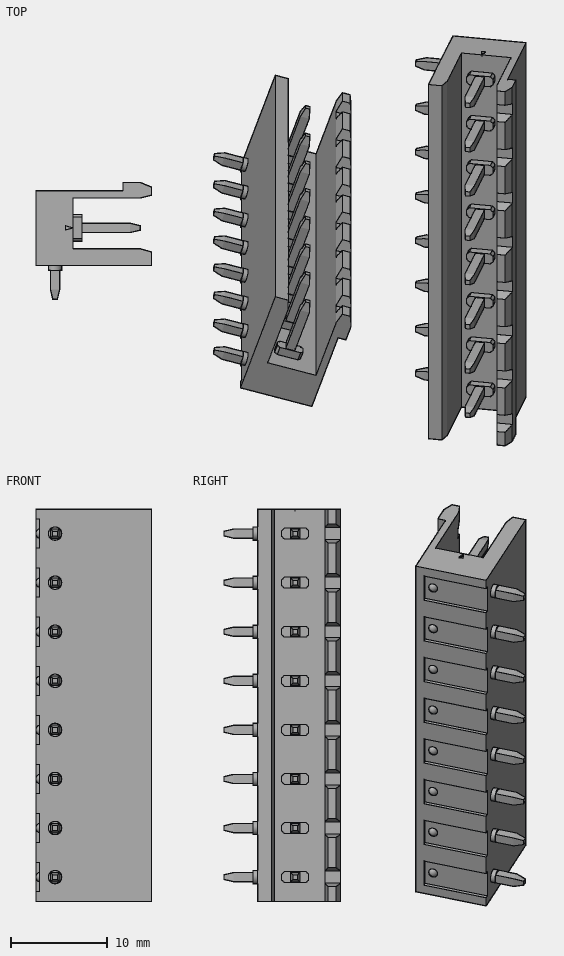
import cadquery as cq

length = 40.65
depth = 12.0
wall_height = 7.75
hook_height = 8.6
channel_floor = 3.85
channel_bottom = 1.75
channel_top = 7.0
hook_start = 9.02
lead_in_start = 10.8
hook_nose_top = 8.13
hook_nose_bottom = 7.27
lower_nose_top = 1.42

contact_count = 8
pitch = 5.1
first_contact_z = (length - (contact_count - 1) * pitch) / 2
pin_width = 0.98
pin_tip_width = 0.5
pin_taper = 1.0

mating_pin_y = 3.9
mating_pin_end = 10.8
collar_end = 4.8
collar_width = 2.8
collar_thickness = 1.15
collar_chamfer = 0.3

solder_pin_x = 2.0
solder_pin_length = 3.5
solder_collar_diameter = 1.4
solder_collar_height = 0.5

recess_depth = 0.35
recess_top = 6.85
recess_width = 3.0
dome_y = 5.97
dome_radius = 0.5

notch_floor = 10.73
notch_floor_width = 1.2
notch_mouth_width = 1.95

mark_length = 0.8
mark_width = 0.45
mark_depth = 0.2


def make_housing():
    return (
        cq.Workplane("XY")
        .moveTo(0, 0)
        .lineTo(depth, 0)
        .lineTo(depth, lower_nose_top)
        .lineTo(lead_in_start, channel_bottom)
        .lineTo(channel_floor, channel_bottom)
        .lineTo(channel_floor, channel_top)
        .lineTo(lead_in_start, channel_top)
        .lineTo(depth, hook_nose_bottom)
        .lineTo(depth, hook_nose_top)
        .lineTo(lead_in_start, hook_height)
        .lineTo(hook_start, hook_height)
        .lineTo(hook_start, wall_height)
        .lineTo(0, wall_height)
        .close()
        .extrude(length)
    )


def make_recess(z):
    return (
        cq.Workplane("XY", origin=(0, 0, z))
        .box(recess_depth, recess_top, recess_width, centered=(False, False, True))
    )


def make_dome(z):
    """Spherical cap that rises from the recess floor to the back face."""
    sphere_radius = (dome_radius**2 + recess_depth**2) / (2 * recess_depth)
    sphere = cq.Workplane("XY", origin=(sphere_radius, dome_y, z)).sphere(sphere_radius)
    return sphere.intersect(make_recess(z))


def make_notch(z):
    """Trapezoidal cutter through the hooked wall, wider at the free edge."""
    half_floor = notch_floor_width / 2
    half_mouth = notch_mouth_width / 2
    return (
        cq.Workplane("XZ", origin=(0, hook_height, z))
        .polyline([
            (notch_floor, -half_floor),
            (depth, -half_mouth),
            (depth, half_mouth),
            (notch_floor, half_floor),
        ])
        .close()
        .extrude(hook_height - channel_top)
    )


def make_pin(origin, direction, pin_length):
    """Square pin with a four-sided tapered tip."""
    plane = cq.Plane(origin=origin, xDir=(0, 0, 1), normal=direction)
    shank_length = pin_length - pin_taper
    shank = cq.Workplane(plane).rect(pin_width, pin_width).extrude(shank_length)
    tip = (
        cq.Workplane(plane)
        .workplane(offset=shank_length)
        .rect(pin_width, pin_width)
        .workplane(offset=pin_taper)
        .rect(pin_tip_width, pin_tip_width)
        .loft()
    )
    return shank.union(tip)


def make_mating_contact(z):
    collar = (
        cq.Workplane("YZ", origin=(channel_floor, mating_pin_y, z))
        .rect(collar_width, collar_thickness)
        .extrude(collar_end - channel_floor)
        .edges("|X")
        .chamfer(collar_chamfer)
    )
    pin = make_pin((channel_floor, mating_pin_y, z), (1, 0, 0), mating_pin_end - channel_floor)
    return collar.union(pin)


def make_solder_contact(z):
    collar = (
        cq.Workplane("XZ", origin=(solder_pin_x, 0, z))
        .circle(solder_collar_diameter / 2)
        .extrude(solder_collar_height)
    )
    pin = make_pin((solder_pin_x, 0, z), (0, -1, 0), solder_pin_length)
    return collar.union(pin)


def make_mark():
    return (
        cq.Workplane("XY", origin=(channel_floor, mating_pin_y, length))
        .polyline([(0, 0), (-mark_length, mark_width / 2), (-mark_length, -mark_width / 2)])
        .close()
        .extrude(-mark_depth)
    )


result = make_housing().cut(make_mark())
for index in range(contact_count):
    contact_z = first_contact_z + index * pitch
    result = result.cut(make_recess(contact_z)).cut(make_notch(contact_z))
    result = result.union(make_dome(contact_z))
    result = result.union(make_mating_contact(contact_z)).union(make_solder_contact(contact_z))